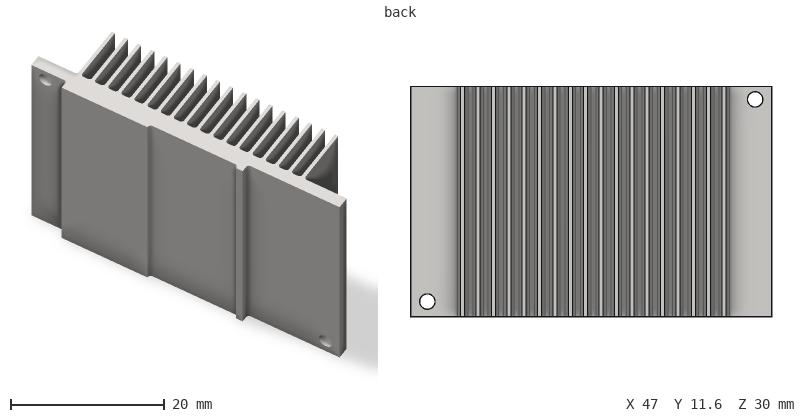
import cadquery as cq

length = 47.0
depth = 11.6
height = 30.0

flange_front = 1.25
pad_left = 5.4
pad_right = 33.0
step_fillet = 0.4

channel_left = 18.45
channel_right = 32.0
channel_depth = 0.5

fin_count = 18
fin_height = 8.55
fin_row_span = 34.05
fin_thickness = 0.5
first_fin_center = 6.2
fin_fillet = 0.4
fin_embed = 0.45

hole_diameter = 1.97
hole_end_inset = 2.15
top_hole_inset = 1.7
bottom_hole_inset = 1.97

plate_back = depth - fin_height
fin_pitch = fin_row_span / (fin_count - 1)
fin_half = fin_thickness / 2
fin_centers = [first_fin_center + i * fin_pitch for i in range(fin_count)]


def make_plate():
    """Plate with the raised front pad and its rounded inner corners."""
    return (
        cq.Workplane("XY")
        .moveTo(0, flange_front)
        .lineTo(pad_left - step_fillet, flange_front)
        .radiusArc((pad_left, flange_front - step_fillet), step_fillet)
        .lineTo(pad_left, 0)
        .lineTo(channel_left, 0)
        .radiusArc((channel_left + channel_depth, channel_depth), channel_depth)
        .lineTo(channel_right - channel_depth, channel_depth)
        .radiusArc((channel_right, 0), channel_depth)
        .lineTo(pad_right, 0)
        .lineTo(pad_right, flange_front - step_fillet)
        .radiusArc((pad_right + step_fillet, flange_front), step_fillet)
        .lineTo(length, flange_front)
        .lineTo(length, plate_back)
        .lineTo(0, plate_back)
        .close()
        .extrude(height)
    )


def make_fins():
    """Row of fins, each flared by a fillet on both sides of its root."""
    fillet_top = plate_back + fin_fillet
    root_half = fin_half + fin_fillet
    root_bottom = plate_back - fin_embed
    fin_origins = [(center, 0) for center in fin_centers]
    fin = (
        cq.Workplane("XY")
        .moveTo(-root_half, root_bottom)
        .lineTo(-root_half, plate_back)
        .radiusArc((-fin_half, fillet_top), -fin_fillet)
        .lineTo(-fin_half, depth)
        .lineTo(fin_half, depth)
        .lineTo(fin_half, fillet_top)
        .radiusArc((root_half, plate_back), -fin_fillet)
        .lineTo(root_half, root_bottom)
        .close()
        .extrude(height)
    )
    return cq.Workplane("XY").pushPoints(fin_origins).eachpoint(lambda place: fin.val().moved(place))


def make_holes():
    """Through-hole cutters along Y in the two flanges."""
    hole_places = [
        (hole_end_inset, height - top_hole_inset),
        (length - hole_end_inset, bottom_hole_inset),
    ]
    return (
        cq.Workplane("XZ")
        .pushPoints(hole_places)
        .circle(hole_diameter / 2)
        .extrude(-depth)
    )


result = make_plate().union(make_fins()).cut(make_holes())